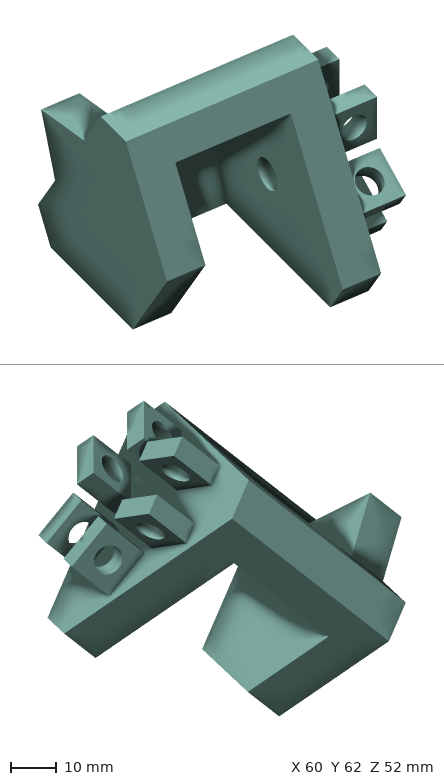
import cadquery as cq
import math

body_width = 60.0
corner_flat = 10.0
body_length = 50.0
plate_thickness = 10.0

window_width = 22.8
tip_height = 13.0
cavity_reach = 2 * body_width

front_trim_distance = 16.8

centre_hole_diameter = 8.0

tab_length = 12.0
tab_inner_radius = 7.0
tab_inner_offset = 5.0
tab_thickness = 4.95
tab_hole_diameter = 6.7

long_side = body_width - corner_flat
side_distance = (long_side + 2 * corner_flat) / (2 * math.sqrt(3))
side_normal_angle = 150
cavity_start = plate_thickness
cavity_end = body_length - plate_thickness


def prism(points, start, end):
    """Extrude an outline of (X, Z) points from Y = start to Y = end."""
    return cq.Workplane("XZ", origin=(0, start, 0)).polyline(points).close().extrude(start - end)


def from_left_side(distance, along):
    """Point at a distance along the left side's outward normal, shifted up along that side."""
    angle = math.radians(side_normal_angle)
    x = distance * math.cos(angle) + along * math.sin(angle)
    z = distance * math.sin(angle) - along * math.cos(angle)
    return (x, z)


def make_body():
    half_flat = corner_flat / 2
    half_base = long_side / 2
    bottom = -side_distance
    shoulder = bottom + corner_flat * math.sin(math.radians(60))
    top = bottom + body_width * math.sin(math.radians(60))
    outline = [
        (-half_base, bottom),
        (half_base, bottom),
        (body_width / 2, shoulder),
        (half_flat, top),
        (-half_flat, top),
        (-body_width / 2, shoulder),
    ]
    return prism(outline, 0, body_length)


def make_cavity():
    spread = window_width / 2 * cavity_reach / tip_height
    far_distance = side_distance + tip_height - cavity_reach
    outline = [
        from_left_side(side_distance + tip_height, 0),
        from_left_side(far_distance, spread),
        from_left_side(far_distance, -spread),
    ]
    return prism(outline, cavity_start, cavity_end)


def make_front_tip():
    """The wedge tip that stays on the front plate outside the left side."""
    outline = [
        from_left_side(side_distance + tip_height, 0),
        from_left_side(side_distance, window_width / 2),
        from_left_side(side_distance, -window_width / 2),
    ]
    return prism(outline, 0, plate_thickness)


def make_front_trim():
    """Removes the lower right corner of the front plate, parallel to the left side."""
    outline = [
        from_left_side(-front_trim_distance, -body_width),
        from_left_side(-front_trim_distance, body_width),
        from_left_side(-body_width, body_width),
        from_left_side(-body_width, -body_width),
    ]
    return prism(outline, 0, plate_thickness)


def make_tab_pair():
    """Two upright lugs with a shared cross hole, pointing at the top corner."""
    outer_offset = tab_inner_offset + tab_thickness
    pair = (
        cq.Workplane("XY")
        .box(2 * outer_offset, tab_length, tab_length)
        .cut(cq.Workplane("XY").box(2 * tab_inner_offset, tab_length, tab_length))
        .cut(cq.Workplane("YZ").circle(tab_hole_diameter / 2).extrude(outer_offset, both=True))
    )
    return pair.translate((0, body_length + tab_length / 2, tab_inner_radius + tab_length / 2))


centre_hole = (
    cq.Workplane("XZ", origin=(0, cavity_end, 0))
    .circle(centre_hole_diameter / 2)
    .extrude(-plate_thickness)
)

result = make_body().cut(make_cavity()).union(make_front_tip()).cut(make_front_trim()).cut(centre_hole)
for turn in (0, 120, 240):
    result = result.union(make_tab_pair().rotate((0, 0, 0), (0, 1, 0), turn))